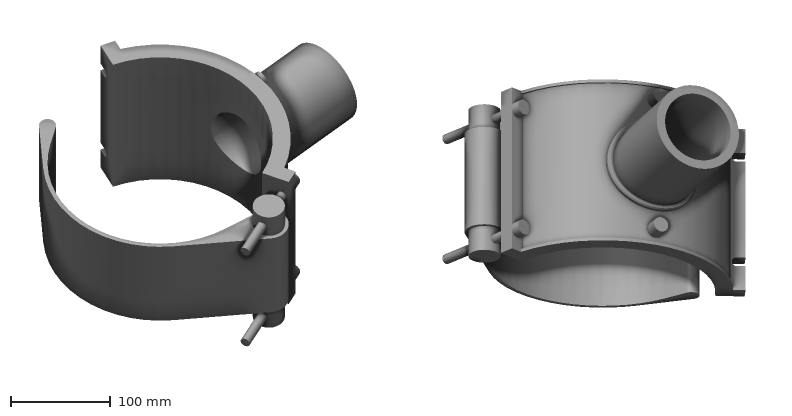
import cadquery as cq
import math


saddle_height = 176.0
inner_radius = 113.0
saddle_outer_radius = 128.2
rim_radius = 130.7
rim_height = 3.0
end_angle = 20
flange_radius = 142.3
flange_thickness = 16.0

branch_diameter = 90.0
branch_bore = 72.0
branch_end = 233.0
collar_diameter = 99.0
collar_radius = 133.0
collar_chamfer = 1.5

terminal_base_diameter = 18.2
terminal_tip_diameter = 15.5
terminal_tip = 143.0
terminal_z = 70.5

slot_width = 9.5
slot_bottom = 128.2
slot_z = 57.0

bolt_diameter = 10.0
bolt_head_diameter = 15.8
bolt_head_height = 9.8
bolt_tail = 86.5
bolt_reach = 135.0
bolt_z = 65.5

strap_height = 106.5
strap_outer_radius = 117.5
hub_radius = 20.0
hub_drop = 31.2
trunnion_diameter = 32.2
trunnion_height = 159.0
bead_radius = 8.6
bead_center = (-116.5, -43.5)


def flange_point(reach, rise):
    """XY of a point `reach` along the right end face and `rise` square to it."""
    a = math.radians(end_angle)
    return (reach * math.cos(a) - rise * math.sin(a), reach * math.sin(a) + rise * math.cos(a))


def polar(radius, angle, center=(0, 0)):
    return (center[0] + radius * math.cos(angle), center[1] + radius * math.sin(angle))


def upright(sketch, height):
    """Extrude an XY outline symmetrically about Z = 0."""
    return sketch.extrude(height / 2, both=True)


def cylinder_along_y(diameter, y_start, y_end):
    plane = cq.Plane(origin=(0, y_start, 0), xDir=(1, 0, 0), normal=(0, 1, 0))
    return cq.Workplane(plane).circle(diameter / 2).extrude(y_end - y_start)


def make_arc_shell(outer_radius, height):
    """Shell sector over the top, between the two end faces."""
    start = math.radians(end_angle)
    sketch = (
        cq.Workplane("XY")
        .moveTo(*polar(inner_radius, start))
        .lineTo(*polar(outer_radius, start))
        .threePointArc((0, outer_radius), polar(outer_radius, math.pi - start))
        .lineTo(*polar(inner_radius, math.pi - start))
        .threePointArc((0, inner_radius), polar(inner_radius, start))
        .close()
    )
    return upright(sketch, height)


def make_flange():
    """Right-hand flange; its root lies inside the shell wall."""
    root = (inner_radius + saddle_outer_radius) / 2
    corners = [
        flange_point(root, 0),
        flange_point(flange_radius, 0),
        flange_point(flange_radius, flange_thickness),
        flange_point(root, flange_thickness),
    ]
    return upright(cq.Workplane("XY").polyline(corners).close(), saddle_height)


def make_slot(z):
    """Round-bottomed slot cutter, open at the edge of the left flange."""
    a = math.radians(end_angle)
    plane = cq.Plane(origin=(0, 0, z), xDir=(-math.cos(a), math.sin(a), 0),
                     normal=(math.sin(a), math.cos(a), 0))
    slot_length = 2 * (flange_radius - slot_bottom)
    middle = slot_bottom + slot_length / 2
    return cq.Workplane(plane).center(middle, 0).slot2D(slot_length, slot_width).extrude(
        flange_thickness, both=True)


def make_terminal(z):
    root = (inner_radius + saddle_outer_radius) / 2
    plane = cq.Plane(origin=(0, root, z), xDir=(1, 0, 0), normal=(0, 1, 0))
    length = terminal_tip - root
    return (
        cq.Workplane(plane)
        .circle(terminal_base_diameter / 2)
        .workplane(offset=length)
        .circle(terminal_tip_diameter / 2)
        .loft()
    )


def make_bolt(z):
    a = math.radians(end_angle)
    tail = flange_point(bolt_reach, -bolt_tail)
    plane = cq.Plane(origin=(*tail, z), xDir=(0, 0, 1), normal=(-math.sin(a), math.cos(a), 0))
    head_seat = bolt_tail + flange_thickness
    shank = cq.Workplane(plane).circle(bolt_diameter / 2).extrude(head_seat)
    head = (
        cq.Workplane(plane)
        .workplane(offset=head_seat)
        .circle(bolt_head_diameter / 2)
        .extrude(bolt_head_height)
    )
    return shank.union(head).solids()


def make_saddle(bolts):
    body = make_arc_shell(saddle_outer_radius, saddle_height)
    rims = make_arc_shell(rim_radius, saddle_height).cut(
        make_arc_shell(rim_radius, saddle_height - 2 * rim_height))
    flange = make_flange()
    body = body.union(rims).union(flange).union(flange.mirror("YZ"))

    root = (inner_radius + saddle_outer_radius) / 2
    collar = cylinder_along_y(collar_diameter, 0, branch_end).intersect(
        upright(cq.Workplane("XY").circle(collar_radius), saddle_height))
    collar = collar.faces(">Y").edges().chamfer(collar_chamfer)
    branch = cylinder_along_y(branch_diameter, 0, branch_end).union(collar)
    branch = branch.cut(upright(cq.Workplane("XY").circle(root), saddle_height))
    body = body.union(branch).cut(cylinder_along_y(branch_bore, 0, branch_end))

    for side in (-1, 1):
        body = body.union(make_terminal(side * terminal_z))
        body = body.cut(make_slot(side * slot_z))
    for bolt in bolts:
        body = body.cut(bolt)
    return body.solids()


def make_strap(bolts):
    """Band whose straight flanks run tangent to the hub, the bead and both band arcs."""
    hub_center = flange_point(bolt_reach, -hub_drop)
    hub_distance = math.hypot(*hub_center)
    hub_angle = math.atan2(hub_center[1], hub_center[0])
    bead_distance = math.hypot(*bead_center)
    bead_angle = math.atan2(bead_center[1], bead_center[0])

    hub_outer = hub_angle - math.acos((strap_outer_radius - hub_radius) / hub_distance)
    hub_inner = hub_angle - math.acos((inner_radius + hub_radius) / hub_distance)
    bead_outer = bead_angle + math.acos((strap_outer_radius - bead_radius) / bead_distance)
    bead_inner = bead_angle + math.acos((inner_radius + bead_radius) / bead_distance)
    bottom = -math.pi / 2

    sketch = (
        cq.Workplane("XY")
        .moveTo(*polar(strap_outer_radius, bead_outer))
        .threePointArc(polar(strap_outer_radius, bottom), polar(strap_outer_radius, hub_outer))
        .lineTo(*polar(hub_radius, hub_outer, hub_center))
        .threePointArc(polar(hub_radius, hub_angle, hub_center),
                       polar(hub_radius, hub_inner + math.pi, hub_center))
        .lineTo(*polar(inner_radius, hub_inner))
        .threePointArc(polar(inner_radius, bottom), polar(inner_radius, bead_inner))
        .lineTo(*polar(bead_radius, bead_inner + math.pi, bead_center))
        .threePointArc(polar(bead_radius, bead_angle, bead_center),
                       polar(bead_radius, bead_outer, bead_center))
        .close()
    )
    trunnion = upright(cq.Workplane("XY").center(*hub_center).circle(trunnion_diameter / 2),
                       trunnion_height)
    strap = upright(sketch, strap_height).union(trunnion)
    for bolt in bolts:
        strap = strap.cut(bolt)
    return strap.solids()


bolts = [make_bolt(side * bolt_z) for side in (-1, 1)]
saddle = make_saddle(bolts)
strap = make_strap(bolts)

result = cq.Compound.makeCompound([saddle.val(), strap.val(), *[bolt.val() for bolt in bolts]])